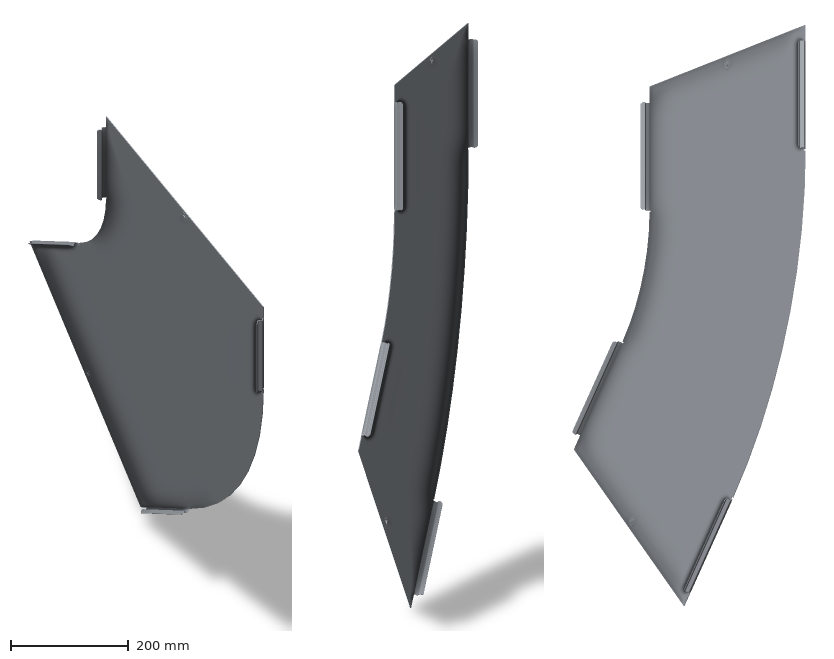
import cadquery as cq
import math

bend_angle = 45.0
plate_width = 496.0
inner_radius = 301.0
leg_length = 216.5
sheet = 1.4
outer_radius = inner_radius + plate_width

clip_end_gap = 29.0
clip_depth = 17.0
clip_overhang = 5.0
clip_bend_radius = 0.5
bead_depth = 6.5
neck_depth = 11.0
clip_chamfer = 3.0
relief = 4.0

screw_edge_gap = 14.0
screw_diameter = 20.0
head_height = 1.0
washer_height = 0.5
stem_diameter = 8.0
stem_height = 2.0



def make_bend_plate():
    """Annular sector joining the two legs."""
    half = math.radians(bend_angle / 2)
    end = math.radians(bend_angle)

    def at(radius, angle):
        return (radius * math.cos(angle), -radius * math.sin(angle))

    return (
        cq.Workplane("XZ")
        .moveTo(inner_radius, 0)
        .lineTo(outer_radius, 0)
        .threePointArc(at(outer_radius, half), at(outer_radius, end))
        .lineTo(*at(inner_radius, end))
        .threePointArc(at(inner_radius, half), (inner_radius, 0))
        .close()
        .extrude(sheet)
    )


def make_clip(edge_x, outward):
    """Bent strip with an outward bead, a neck and a flared tip; outward is +1 or -1 along X."""
    bend_line = [
        (0, 0),
        (clip_overhang, bead_depth),
        (0, neck_depth),
        (clip_overhang, clip_depth),
    ]
    outer_side = [(edge_x + outward * out, -depth) for out, depth in bend_line]
    inner_side = [(x - outward * sheet, y) for x, y in reversed(outer_side)]
    clip_length = leg_length - clip_end_gap
    strip = cq.Workplane("XY").polyline(outer_side + inner_side).close().extrude(clip_length)
    bends = cq.selectors.BoxSelector(
        (edge_x - plate_width / 2, -clip_depth - sheet, 0),
        (edge_x + plate_width / 2, -bead_depth / 2, clip_length),
    )
    strip = strip.edges("|Z").edges(bends).fillet(clip_bend_radius)
    outline = (
        cq.Workplane("YZ", origin=(edge_x, 0, 0))
        .center(0, clip_length / 2)
        .rect(2 * clip_depth, clip_length)
        .extrude(2 * clip_overhang, both=True)
        .edges("|X")
        .chamfer(clip_chamfer)
    )
    return strip.intersect(outline)


def make_screw():
    """Lock screw: round head outside, washer and stem inside."""
    def disc(diameter, start, end):
        return cq.Workplane("XZ", origin=(0, -start, 0)).circle(diameter / 2).extrude(end - start)

    screw = disc(screw_diameter, -head_height, sheet + washer_height)
    return screw.union(disc(stem_diameter, 0, sheet + stem_height))


def make_leg():
    """Upright straight leg above the bend with its clips and screw."""
    middle = (inner_radius + outer_radius) / 2
    leg = (
        cq.Workplane("XZ")
        .center(middle, leg_length / 2)
        .rect(plate_width, leg_length)
        .extrude(sheet)
    )
    for edge_x, outward in ((inner_radius, -1), (outer_radius, 1)):
        leg = leg.union(make_clip(edge_x, outward))
    return leg.union(make_screw().translate((middle, 0, leg_length - screw_edge_gap)))


def make_reliefs():
    """Notches cut into both bend edges, just below the upright leg."""
    return (
        cq.Workplane("XZ")
        .pushPoints([(inner_radius, -relief / 2), (outer_radius, -relief / 2)])
        .rect(2 * relief, relief)
        .extrude(sheet)
    )


def on_lower_leg(shape):
    """Carry a shape from the upright leg to its mirror place on the slanted leg."""
    return shape.mirror("XY").rotate((0, 0, 0), (0, 1, 0), bend_angle)


upper_leg = make_leg()
reliefs = make_reliefs()
bend_plate = make_bend_plate().cut(reliefs).cut(on_lower_leg(reliefs))
result = bend_plate.union(upper_leg).union(on_lower_leg(upper_leg))